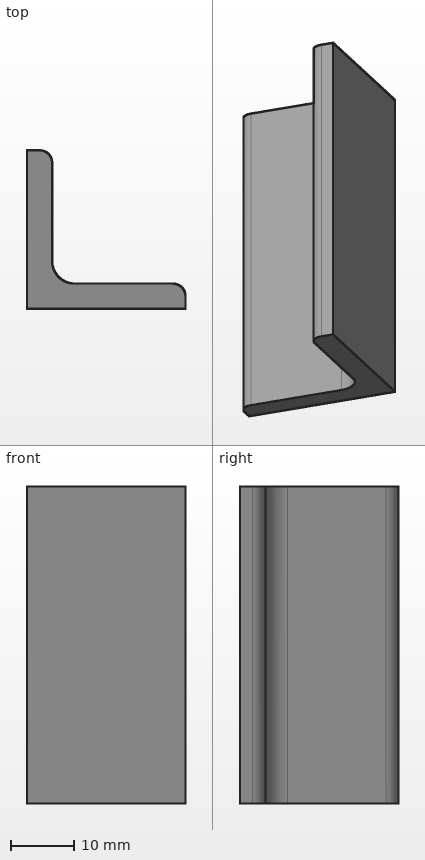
import cadquery as cq

leg_length = 25.0
leg_thickness = 4.0
bar_length = 50.0
root_radius = 3.5
toe_radius = 2.0


def angle_bar():
    """Sharp-cornered L profile with its outer corner on the Z axis."""
    profile = [
        (0, 0),
        (leg_length, 0),
        (leg_length, leg_thickness),
        (leg_thickness, leg_thickness),
        (leg_thickness, leg_length),
        (0, leg_length),
    ]
    return cq.Workplane("XY").polyline(profile).close().extrude(bar_length)


def vertical_edge_at(x, y):
    """Selector for the vertical edge passing through (x, y)."""
    return cq.selectors.NearestToPointSelector((x, y, bar_length / 2))


def round_inner_edges(bar):
    """Fillet the root between the legs and the inner edge of each leg's toe."""
    bar = bar.edges(vertical_edge_at(leg_thickness, leg_thickness)).fillet(root_radius)
    for x, y in [(leg_length, leg_thickness), (leg_thickness, leg_length)]:
        bar = bar.edges(vertical_edge_at(x, y)).fillet(toe_radius)
    return bar


result = round_inner_edges(angle_bar())